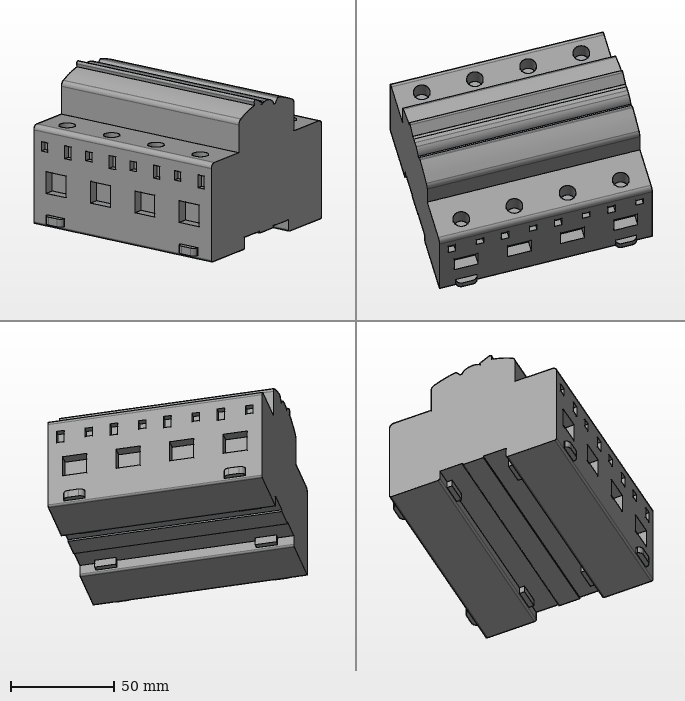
import cadquery as cq
import math

length = 106.8
body_depth = 89.9
total_depth = 95.2
shoulder_height = 50.0
shoulder_fillet = 2.5
base_fillet = 1.0

neck_depth = 45.1
neck_fillet = 3.0
back_crown_radius = 50.0
back_crown_top = 71.0
front_crown_radius = 44.9
front_crown_top = 71.9

groove_edge_y = 9.2
groove_edge_fillet = 0.5
groove_floor_z = 67.5
groove_floor_back_y = 6.8
groove_floor_front_y = 6.1
hump_shoulder = (3.6, 70.2)
hump_points = [(2.3, 70.7), (0.2, 71.0), (-1.9, 70.8), (-4.0, 69.7)]
lever_root_y = -3.5
lever_root_z = 70.7
lever_slope = 29.0
lever_tip_y = -10.5
lever_foot_y = -9.8
lever_tip_radius = 1.1

channel_width = 35.7
channel_height = 6.0
pad_width = 11.1
pad_drop = 1.0

module_count = 4
module_pitch = length / module_count
screw_hole_diameter = 8.0
screw_hole_depth = 10.0
screw_hole_y = 35.8
wire_window = (12.0, 11.0)
wire_window_z = 22.2
wire_window_depth = 5.0
short_slot = (3.7, 4.7)
short_slot_x = -6.9
short_slot_z = 40.0
tall_slot = (3.7, 6.5)
tall_slot_x = 7.2
tall_slot_z = 39.6
slot_depth = 3.0

latch_x = 40.0
latch_width = 10.6
latch_height = 4.0
latch_inner_y = 15.2
latch_corner_run = 2.7
latch_corner_depth = 2.0

half_body = body_depth / 2
half_neck = neck_depth / 2
half_channel = channel_width / 2
half_pad = pad_width / 2
SIDES = (-1, 1)


def crown_z(y):
    """Height of the crown at a given y."""
    radius, top = (back_crown_radius, back_crown_top) if y > 0 else (front_crown_radius, front_crown_top)
    return top - radius + math.sqrt(radius**2 - y**2)


def crown_point(y):
    return (y, crown_z(y))


def make_body():
    back_mid_y = (half_neck + groove_edge_y) / 2
    front_mid_y = (lever_foot_y - half_neck) / 2
    lever_rise = (lever_root_y - lever_tip_y) * math.tan(math.radians(lever_slope))
    profile = (
        cq.Workplane("YZ", origin=(-length / 2, 0, 0))
        .moveTo(half_channel, 0)
        .lineTo(half_body, 0)
        .lineTo(half_body, shoulder_height)
        .lineTo(half_neck, shoulder_height)
        .lineTo(*crown_point(half_neck))
        .threePointArc(crown_point(back_mid_y), crown_point(groove_edge_y))
        .lineTo(groove_floor_back_y, groove_floor_z)
        .lineTo(groove_floor_front_y, groove_floor_z)
        .threePointArc(hump_shoulder, hump_points[0])
        .polyline(hump_points[1:], includeCurrent=True)
        .lineTo(lever_root_y, lever_root_z)
        .lineTo(lever_tip_y, lever_root_z + lever_rise)
        .lineTo(*crown_point(lever_foot_y))
        .threePointArc(crown_point(front_mid_y), crown_point(-half_neck))
        .lineTo(-half_neck, shoulder_height)
        .lineTo(-half_body, shoulder_height)
        .lineTo(-half_body, 0)
        .lineTo(-half_channel, 0)
        .lineTo(-half_channel, channel_height)
        .lineTo(-half_pad, channel_height)
        .lineTo(-half_pad, channel_height - pad_drop)
        .lineTo(half_pad, channel_height - pad_drop)
        .lineTo(half_pad, channel_height)
        .lineTo(half_channel, channel_height)
        .close()
    )
    body = profile.extrude(length)
    body = body.edges("|X and >Z").fillet(lever_tip_radius)
    groove_edge = cq.selectors.NearestToPointSelector((0, *crown_point(groove_edge_y)))
    body = body.edges(groove_edge).fillet(groove_edge_fillet)
    for side in SIDES:
        shoulder_edge = cq.selectors.NearestToPointSelector((0, side * half_body, shoulder_height))
        body = body.edges(shoulder_edge).fillet(shoulder_fillet)
        crown_edge = cq.selectors.NearestToPointSelector((0, side * half_neck, crown_z(side * half_neck)))
        body = body.edges(crown_edge).fillet(neck_fillet)
    for y in (-half_body, -half_channel, half_channel, half_body):
        base_edge = cq.selectors.NearestToPointSelector((0, y, 0))
        body = body.edges(base_edge).fillet(base_fillet)
    return body


def make_latch():
    """Sliding latch on the back (+Y) side, reaching from the channel out past the body."""
    half_width = latch_width / 2
    half_tip = half_width - latch_corner_run
    tip_y = total_depth / 2
    corner_y = tip_y - latch_corner_depth
    corner_radius = (latch_corner_run**2 + latch_corner_depth**2) / (2 * latch_corner_depth)
    return (
        cq.Workplane("XY", origin=(0, 0, channel_height))
        .moveTo(-half_width, latch_inner_y)
        .lineTo(half_width, latch_inner_y)
        .lineTo(half_width, corner_y)
        .radiusArc((half_tip, tip_y), -corner_radius)
        .lineTo(-half_tip, tip_y)
        .radiusArc((-half_width, corner_y), -corner_radius)
        .close()
        .extrude(-latch_height)
    )


def make_wall_pocket(size, x, z, depth):
    """Rectangular pocket going into the back (+Y) wall, centred at x and z."""
    width, height = size
    return cq.Workplane("XY").box(width, depth, height).translate((x, half_body - depth / 2, z))


def make_terminal():
    """Everything cut for one terminal on the back (+Y) side, centred on x = 0."""
    screw_hole = (
        cq.Workplane("XY", origin=(0, screw_hole_y, shoulder_height))
        .circle(screw_hole_diameter / 2)
        .extrude(-screw_hole_depth)
    )
    return (
        screw_hole
        .union(make_wall_pocket(wire_window, 0, wire_window_z, wire_window_depth))
        .union(make_wall_pocket(short_slot, short_slot_x, short_slot_z, slot_depth))
        .union(make_wall_pocket(tall_slot, tall_slot_x, tall_slot_z, slot_depth))
    )


result = make_body()

back_latch = make_latch()
for latch in (back_latch, back_latch.mirror("XZ")):
    for side in SIDES:
        result = result.union(latch.translate((side * latch_x, 0, 0)))

back_terminal = make_terminal()
for terminal in (back_terminal, back_terminal.mirror("XZ")):
    for module in range(module_count):
        module_x = (module - (module_count - 1) / 2) * module_pitch
        result = result.cut(terminal.translate((module_x, 0, 0)))